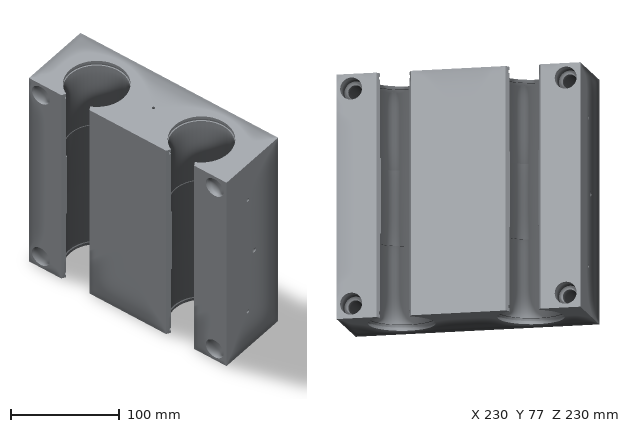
import cadquery as cq
import math

SIDES = (-1, 1)

WIDTH = 230.0
DEPTH = 77.0
HEIGHT = 230.0
FRONT_Y = -DEPTH / 2

BORE_X = 61.0
BORE_Y = FRONT_Y + 32.0
WAIST_RADIUS = 30.1
SEAT_RADIUS = 31.0
SEAT_DEPTH = 79.5

GROOVE_RADIUS = 32.5
GROOVE_OFFSET = 3.0
GROOVE_WIDTH = 2.8

MOUTH_WIDTH = 32.7
FLANK_ANGLE = 30.0

SCREW_INSET = 13.8
SCREW_DIAMETER = 13.5
HEAD_DIAMETER = 20.7
HEAD_DEPTH = 17.2

TOP_HOLE_DIAMETER = 3.0
TOP_HOLE_DEPTH = 11.5

SEAT_HOLE_DIAMETER = 4.0
SEAT_HOLE_Z = 70.0
WAIST_HOLE_DIAMETER = 5.0
WAIST_HOLE_Y = 3.0


def bore_disc(x, radius, height):
    return cq.Workplane("XY", origin=(x, BORE_Y, 0)).circle(radius).extrude(height / 2, both=True)


def bore_end_discs(x, radius, height, offset):
    """A disc at each end of a bore, set in from the end faces by offset."""
    shift = (HEIGHT - height) / 2 - offset
    disc = bore_disc(x, radius, height)
    return disc.translate((0, 0, shift)).union(disc.translate((0, 0, -shift)))


def slot(x):
    """Wedge with its sharp edge inside the bore and its mouth on the front face."""
    wedge_depth = MOUTH_WIDTH / 2 / math.tan(math.radians(FLANK_ANGLE))
    return (
        cq.Workplane("XY", origin=(x, FRONT_Y, 0))
        .polyline([(-MOUTH_WIDTH / 2, 0), (MOUTH_WIDTH / 2, 0), (0, wedge_depth)])
        .close()
        .extrude(HEIGHT / 2, both=True)
    )


def bore_cutter(x):
    return (
        bore_disc(x, WAIST_RADIUS, HEIGHT)
        .union(bore_end_discs(x, SEAT_RADIUS, SEAT_DEPTH, 0))
        .union(bore_end_discs(x, GROOVE_RADIUS, GROOVE_WIDTH, GROOVE_OFFSET))
        .union(slot(x))
    )


def side_hole(y, z, diameter):
    """Drill from the +X face as far as the middle of the nearer bore."""
    return (
        cq.Workplane("YZ", origin=(BORE_X, y, z))
        .circle(diameter / 2)
        .extrude(WIDTH / 2 - BORE_X)
    )


result = cq.Workplane("XY").box(WIDTH, DEPTH, HEIGHT)

for side in SIDES:
    result = result.cut(bore_cutter(side * BORE_X))

result = (
    result.faces("<Y")
    .workplane(origin=(0, FRONT_Y, 0))
    .rect(WIDTH - 2 * SCREW_INSET, HEIGHT - 2 * SCREW_INSET, forConstruction=True)
    .vertices()
    .cboreHole(SCREW_DIAMETER, HEAD_DIAMETER, HEAD_DEPTH)
)

result = (
    result.faces(">Z")
    .workplane(origin=(0, 0, HEIGHT / 2))
    .hole(TOP_HOLE_DIAMETER, TOP_HOLE_DEPTH)
)

for side in SIDES:
    result = result.cut(side_hole(BORE_Y, side * SEAT_HOLE_Z, SEAT_HOLE_DIAMETER))
result = result.cut(side_hole(WAIST_HOLE_Y, 0, WAIST_HOLE_DIAMETER))